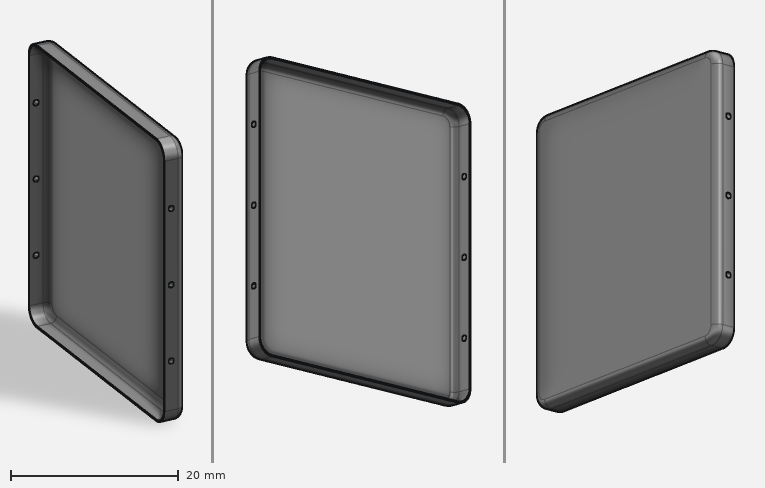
import cadquery as cq
import math

width = 34.5
depth = 2.8
height = 37.0
wall = 0.2

corner_radius = 2.1
back_edge_radius = 1.0

detent_spacing = 10.0
detent_radius = 0.37
bump_height = 0.165
detent_y = (depth - back_edge_radius) / 2


def rounded_block(inset):
    """Block with rounded corners and back edge, inset from the outer surface."""
    block = (
        cq.Workplane("XZ")
        .rect(width - 2 * inset, height - 2 * inset)
        .extrude(-(depth - inset))
    )
    block = block.edges("|Y").fillet(corner_radius - inset)
    return block.faces(">Y").edges().fillet(back_edge_radius - inset)


def dome(wall_x, side, z):
    """Spherical cap bulging inward from the plane x = wall_x."""
    sphere_radius = (detent_radius**2 + bump_height**2) / (2 * bump_height)
    arc_half_angle = math.asin(detent_radius / sphere_radius) / 2
    arc_drop = sphere_radius * (1 - math.cos(arc_half_angle))
    arc_middle = (bump_height - arc_drop, sphere_radius * math.sin(arc_half_angle))
    cap = (
        cq.Workplane("XY")
        .moveTo(0, 0)
        .lineTo(bump_height, 0)
        .threePointArc(arc_middle, (0, detent_radius))
        .close()
        .revolve(360, (0, 0, 0), (1, 0, 0))
    )
    if side > 0:
        cap = cap.mirror("YZ")
    return cap.translate((wall_x, detent_y, z))


result = rounded_block(0).cut(rounded_block(wall))

for side in (-1, 1):
    outer_x = side * width / 2
    inner_x = outer_x - side * wall
    for row in (-1, 0, 1):
        z = row * detent_spacing
        result = result.union(dome(inner_x, side, z))
        result = result.cut(dome(outer_x, side, z))